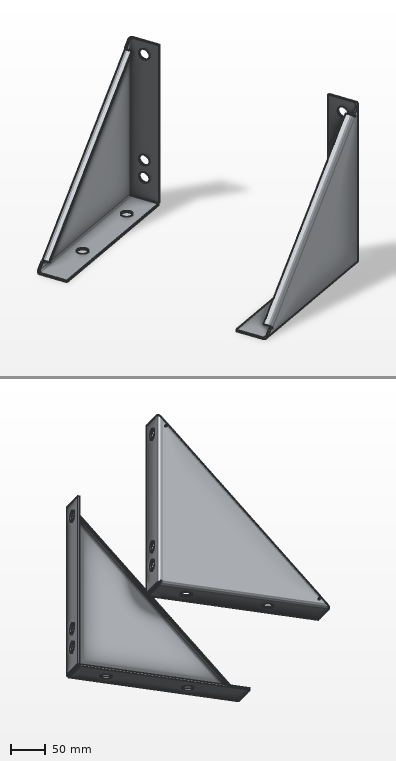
import cadquery as cq
import math

span = 389.7
leg = 268.0
sheet = 3.0
inner_bend = 2.0
outer_bend = inner_bend + sheet

flange_width = 51.5
corner_gap = 3.5

lip_width = 13.3
lip_length = 336.7
lip_rise = 2.5
relief_width = 1.5
relief_depth = 5.0

hole_diameter = 18.0
hole_offset = 26.5
back_hole_heights = [39.0, 68.2, 246.0]
bottom_hole_depths = [53.0, 180.5]

diagonal = math.sqrt(2)
slope_middle = (0, -leg / 2, leg / 2)
up_slope = (0, 1, 1)


def bent_strip(plane, width, length):
    """Flat strip and its bend: local x runs inward, local y from its outer face into the wall."""
    mid = math.sqrt(0.5)
    profile = (
        cq.Workplane(plane)
        .moveTo(outer_bend, 0)
        .lineTo(width, 0)
        .lineTo(width, sheet)
        .lineTo(outer_bend, sheet)
        .threePointArc(
            (outer_bend - inner_bend * mid, outer_bend - inner_bend * mid),
            (sheet, outer_bend),
        )
        .lineTo(0, outer_bend)
        .threePointArc((outer_bend * (1 - mid), outer_bend * (1 - mid)), (outer_bend, 0))
        .close()
    )
    return profile.extrude(length)


def bottom_flange():
    plane = cq.Plane(origin=(0, -corner_gap, 0), xDir=(1, 0, 0), normal=(0, -1, 0))
    flange = bent_strip(plane, flange_width, leg - corner_gap)
    points = [(hole_offset, -depth) for depth in bottom_hole_depths]
    holes = cq.Workplane("XY").pushPoints(points).circle(hole_diameter / 2).extrude(sheet)
    return flange.cut(holes)


def back_flange():
    plane = cq.Plane(origin=(0, 0, leg), xDir=(1, 0, 0), normal=(0, 0, -1))
    flange = bent_strip(plane, flange_width, leg - corner_gap)
    points = [(hole_offset, height) for height in back_hole_heights]
    holes = cq.Workplane("XZ").pushPoints(points).circle(hole_diameter / 2).extrude(sheet)
    return flange.cut(holes)


def wall():
    far = leg - outer_bend
    corners = [(-outer_bend, outer_bend), (-far, outer_bend), (-outer_bend, far)]
    return cq.Workplane("YZ").polyline(corners).close().extrude(sheet)


def slope_trim():
    """Material above the sloping edge, over the bend zone only."""
    corners = [(0, leg), (-leg, 0), (-leg, leg)]
    return cq.Workplane("YZ").polyline(corners).close().extrude(outer_bend)


def slope_box(length, depth, offset):
    """Cutter through the wall, of the given depth below the sloping edge."""
    plane = cq.Plane(origin=slope_middle, xDir=up_slope, normal=(1, 0, 0))
    return cq.Workplane(plane).center(offset, 0).rect(length, 2 * depth).extrude(sheet)


def lip():
    rise = lip_rise / diagonal
    half_run = lip_length / 2 / diagonal
    lower_end = (0, -half_run - rise - leg / 2, -half_run + rise + leg / 2)
    plane = cq.Plane(origin=lower_end, xDir=(1, 0, 0), normal=up_slope)
    return bent_strip(plane, lip_width, lip_length)


def left_bracket():
    body = wall().union(bottom_flange()).union(back_flange()).cut(slope_trim())
    body = body.cut(slope_box(lip_length, outer_bend - lip_rise, 0))
    for side in (-1, 1):
        offset = side * (lip_length + relief_width) / 2
        body = body.cut(slope_box(relief_width, relief_depth, offset))
    return body.union(lip())


bracket_left = left_bracket().translate((-span / 2, leg / 2, -leg / 2))
bracket_right = bracket_left.mirror("YZ")

result = cq.Compound.makeCompound([bracket_left.val(), bracket_right.val()])